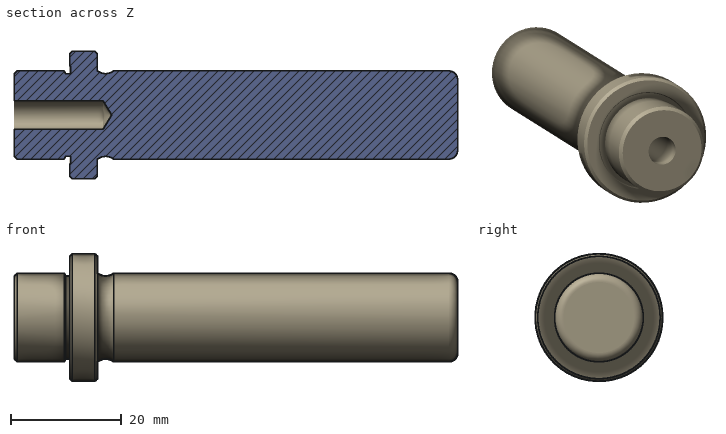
import cadquery as cq
import math

total_length = 80.0
pin_radius = 8.0
collar_radius = 11.5
collar_start = 10.0
collar_end = 15.0
spigot_chamfer = 0.6
collar_chamfer = 0.5

undercut_start = 9.0
undercut_depth = 0.5
undercut_slope = 0.2
face_recess_depth = 0.2
face_recess_radius = 8.9

groove_end = 17.9
groove_depth = 0.5

tail_fillet = 1.6

hole_radius = 2.6
hole_depth = 16.0
drill_point_angle = 118.0


def turned_body():
    """Revolve the outer half-profile (X along the axis, Y as radius)."""
    undercut_radius = pin_radius - undercut_depth
    recess_floor = collar_start + face_recess_depth
    groove_middle = (collar_end + groove_end) / 2
    fillet_inset = tail_fillet * (1 - math.sqrt(0.5))
    profile = (
        cq.Workplane("XY")
        .moveTo(0, 0)
        .lineTo(0, pin_radius - spigot_chamfer)
        .lineTo(spigot_chamfer, pin_radius)
        .lineTo(undercut_start, pin_radius)
        .lineTo(undercut_start + undercut_slope, undercut_radius)
        .lineTo(recess_floor, undercut_radius)
        .lineTo(recess_floor, face_recess_radius - face_recess_depth)
        .lineTo(collar_start, face_recess_radius)
        .lineTo(collar_start, collar_radius - collar_chamfer)
        .lineTo(collar_start + collar_chamfer, collar_radius)
        .lineTo(collar_end - collar_chamfer, collar_radius)
        .lineTo(collar_end, collar_radius - collar_chamfer)
        .lineTo(collar_end, pin_radius)
        .threePointArc((groove_middle, pin_radius - groove_depth), (groove_end, pin_radius))
        .lineTo(total_length - tail_fillet, pin_radius)
        .threePointArc(
            (total_length - fillet_inset, pin_radius - fillet_inset),
            (total_length, pin_radius - tail_fillet),
        )
        .lineTo(total_length, 0)
        .close()
    )
    return profile.revolve(360, (0, 0, 0), (1, 0, 0))


def drilled_hole():
    """Revolve the hole's half-profile into a cutting tool."""
    point_length = hole_radius / math.tan(math.radians(drill_point_angle / 2))
    profile = (
        cq.Workplane("XY")
        .moveTo(0, 0)
        .lineTo(0, hole_radius)
        .lineTo(hole_depth, hole_radius)
        .lineTo(hole_depth + point_length, 0)
        .close()
    )
    return profile.revolve(360, (0, 0, 0), (1, 0, 0))


result = turned_body().cut(drilled_hole())